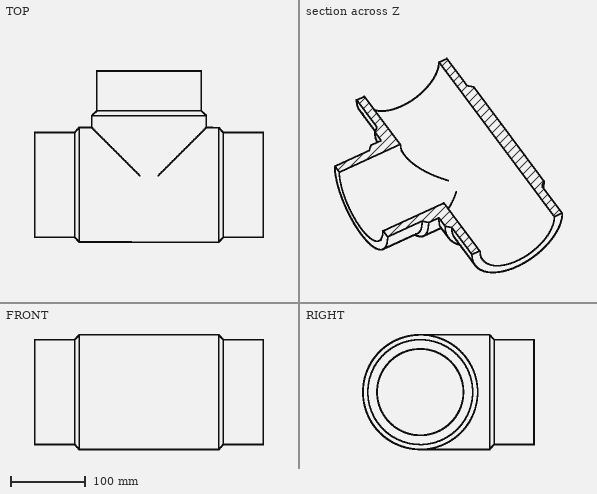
import cadquery as cq

run_length = 305.0
branch_reach = 152.0
body_diameter = 153.0
spigot_diameter = 140.0
bore_diameter = 115.0
spigot_length = 53.5
chamfer_length = 6.0

body_radius = body_diameter / 2
spigot_radius = spigot_diameter / 2
bore_radius = bore_diameter / 2


def arm(direction, reach):
    """Solid arm from the tee centre: thick body, conical shoulder, then spigot."""
    shoulder_end = reach - spigot_length
    shoulder_start = shoulder_end - chamfer_length
    profile = (
        cq.Workplane("XY")
        .polyline([
            (0, 0),
            (body_radius, 0),
            (body_radius, shoulder_start),
            (spigot_radius, shoulder_end),
            (spigot_radius, reach),
            (0, reach),
        ])
        .close()
    )
    upright = profile.revolve(360, (0, 0), (0, 1))
    return upright.rotate((0, 0, 0), (0, 0, 1), direction)


def bore(plane, start, length):
    """Cylindrical passage along the plane normal."""
    return cq.Workplane(plane, origin=start).circle(bore_radius).extrude(length)


TOWARD_MINUS_X = 90
TOWARD_PLUS_X = -90
TOWARD_PLUS_Y = 0

outer = (
    arm(TOWARD_MINUS_X, run_length / 2)
    .union(arm(TOWARD_PLUS_X, run_length / 2))
    .union(arm(TOWARD_PLUS_Y, branch_reach))
)

run_bore = bore("YZ", (-run_length / 2, 0, 0), run_length)
branch_bore = bore("XZ", (0, branch_reach, 0), branch_reach)

result = outer.cut(run_bore).cut(branch_bore)